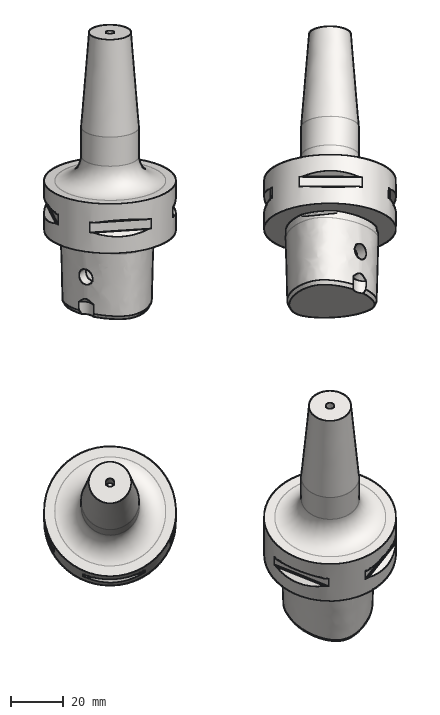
import cadquery as cq
import math

FLANGE_RADIUS = 25.0
FLANGE_HEIGHT = 20.0

NECK_RADIUS = 11.0
COVE_RADIUS = 10.0
NECK_TOP_Z = 41.8
NOSE_TOP_Z = 80.0
NOSE_TIP_RADIUS = 8.0
BORE_DIAMETER = 3.2
BORE_DEPTH = 10.0

GROOVE_COUNT = 4
GROOVE_START_ANGLE = 45.0
GROOVE_CENTRE_Z = FLANGE_HEIGHT / 2
GROOVE_FLOOR_DISTANCE = 22.0
GROOVE_FLOOR_WIDTH = 4.0
GROOVE_WALL_DEPTH = 0.7
GROOVE_FLANK_ANGLE = 31.0

SHANK_LENGTH = 30.0
SHANK_MEAN_RADIUS = 17.6
LOBE_ECCENTRICITY = 1.1
LOBE_COUNT = 3
OUTLINE_POINTS = 12 * LOBE_COUNT
LOBE_DIRECTION = math.radians(90.0)
SEAM_TURN = -1 / 4
STRAIGHT_LENGTH = 2.9
TAPER_PER_SIDE = 1 / 40
END_CHAMFER_HEIGHT = 1.6
END_CHAMFER_INSET = 0.85

RELIEF_RADIUS = 17.7
RELIEF_STRAIGHT_DEPTH = 0.55
RELIEF_FILLET_RADIUS = 1.0
RELIEF_CONE_ANGLE = 45.0
CUTTER_OUTER_RADIUS = FLANGE_RADIUS

FLAT_DISTANCE = SHANK_MEAN_RADIUS - LOBE_ECCENTRICITY
SIDE_HOLE_RADIUS = 3.1
SIDE_HOLE_Z = -14.0
SIDE_HOLE_DEPTH = 5.0
DRILL_POINT_ANGLE = 118.0
NOTCH_RADIUS = 4.3
NOTCH_AXIS_DISTANCE = 18.25
NOTCH_SHOULDER_Z = -25.0
NOTCH_CONE_ANGLE = 45.0


def make_flange_and_nose():
    """Revolved flange, concave cove, cylindrical neck and conical nose."""
    cove_outer_radius = NECK_RADIUS + COVE_RADIUS
    cove_top_z = FLANGE_HEIGHT + COVE_RADIUS
    arc_reach = COVE_RADIUS * math.sin(math.radians(45))
    cove_middle = (cove_outer_radius - arc_reach, cove_top_z - arc_reach)
    profile = (
        cq.Workplane("XZ")
        .lineTo(FLANGE_RADIUS, 0)
        .lineTo(FLANGE_RADIUS, FLANGE_HEIGHT)
        .lineTo(cove_outer_radius, FLANGE_HEIGHT)
        .threePointArc(cove_middle, (NECK_RADIUS, cove_top_z))
        .lineTo(NECK_RADIUS, NECK_TOP_Z)
        .lineTo(NOSE_TIP_RADIUS, NOSE_TOP_Z)
        .lineTo(0, NOSE_TOP_Z)
        .close()
    )
    return profile.revolve(360, (0, 0), (0, 1))


def make_bore():
    """Blind hole down from the tip of the nose."""
    bore_floor = cq.Workplane("XY").workplane(offset=NOSE_TOP_Z - BORE_DEPTH)
    return bore_floor.circle(BORE_DIAMETER / 2).extrude(BORE_DEPTH)


def make_gripper_groove(angle):
    """Straight groove across the rim, with short square walls and flared flanks."""
    flank_start = GROOVE_FLOOR_DISTANCE + GROOVE_WALL_DEPTH
    flank_depth = FLANGE_RADIUS - flank_start
    half_floor = GROOVE_FLOOR_WIDTH / 2
    half_mouth = half_floor + flank_depth * math.tan(math.radians(GROOVE_FLANK_ANGLE))
    section = [
        (GROOVE_FLOOR_DISTANCE, GROOVE_CENTRE_Z - half_floor),
        (flank_start, GROOVE_CENTRE_Z - half_floor),
        (FLANGE_RADIUS, GROOVE_CENTRE_Z - half_mouth),
        (FLANGE_RADIUS, GROOVE_CENTRE_Z + half_mouth),
        (flank_start, GROOVE_CENTRE_Z + half_floor),
        (GROOVE_FLOOR_DISTANCE, GROOVE_CENTRE_Z + half_floor),
    ]
    groove = cq.Workplane("XZ").polyline(section).close().extrude(FLANGE_RADIUS, both=True)
    return groove.rotate((0, 0, 0), (0, 0, 1), angle)


def lobed_point(mean_radius, turn):
    """Point whose outline tangent lies at mean_radius + e*cos(3*angle) from the axis."""
    normal_angle = 2 * math.pi * turn
    lobe_phase = LOBE_COUNT * (normal_angle - LOBE_DIRECTION)
    distance = mean_radius + LOBE_ECCENTRICITY * math.cos(lobe_phase)
    shift = -LOBE_COUNT * LOBE_ECCENTRICITY * math.sin(lobe_phase)
    x = distance * math.cos(normal_angle) - shift * math.sin(normal_angle)
    y = distance * math.sin(normal_angle) + shift * math.cos(normal_angle)
    return x, y


def lobed_wire(mean_radius, z):
    """Closed three-lobed outline at height z, with its seam on the -Y flat."""
    points = []
    for index in range(OUTLINE_POINTS):
        x, y = lobed_point(mean_radius, index / OUTLINE_POINTS + SEAM_TURN)
        points.append(cq.Vector(x, y, z))
    return cq.Wire.assembleEdges([cq.Edge.makeSpline(points, periodic=True)])


def lobed_section(top_radius, top_z, bottom_radius, bottom_z):
    """Ruled solid between two lobed outlines."""
    top = lobed_wire(top_radius, top_z)
    bottom = lobed_wire(bottom_radius, bottom_z)
    return cq.Workplane(cq.Solid.makeLoft([bottom, top], True))


def make_shank():
    """Straight band, tapered body and end chamfer of the lobed shank."""
    chamfer_z = -SHANK_LENGTH + END_CHAMFER_HEIGHT
    taper_length = -STRAIGHT_LENGTH - chamfer_z
    tapered_radius = SHANK_MEAN_RADIUS - taper_length * TAPER_PER_SIDE
    end_radius = tapered_radius - END_CHAMFER_INSET
    band = lobed_section(SHANK_MEAN_RADIUS, 0, SHANK_MEAN_RADIUS, -STRAIGHT_LENGTH)
    taper = lobed_section(SHANK_MEAN_RADIUS, -STRAIGHT_LENGTH, tapered_radius, chamfer_z)
    chamfer = lobed_section(tapered_radius, chamfer_z, end_radius, -SHANK_LENGTH)
    return band.union(taper).union(chamfer)


def make_lobe_relief():
    """Ring that trims the lobes: a cylinder blended by a fillet into a cone."""
    fillet_centre_x = RELIEF_RADIUS + RELIEF_FILLET_RADIUS

    def fillet_point(angle):
        x = fillet_centre_x - RELIEF_FILLET_RADIUS * math.cos(math.radians(angle))
        z = -RELIEF_STRAIGHT_DEPTH - RELIEF_FILLET_RADIUS * math.sin(math.radians(angle))
        return x, z

    cone_start_x, cone_start_z = fillet_point(RELIEF_CONE_ANGLE)
    cone_height = (CUTTER_OUTER_RADIUS - cone_start_x) / math.tan(math.radians(RELIEF_CONE_ANGLE))
    profile = (
        cq.Workplane("XZ")
        .moveTo(CUTTER_OUTER_RADIUS, 0)
        .lineTo(RELIEF_RADIUS, 0)
        .lineTo(RELIEF_RADIUS, -RELIEF_STRAIGHT_DEPTH)
        .threePointArc(fillet_point(RELIEF_CONE_ANGLE / 2), (cone_start_x, cone_start_z))
        .lineTo(CUTTER_OUTER_RADIUS, cone_start_z - cone_height)
        .close()
    )
    return profile.revolve(360, (0, 0), (0, 1))


def make_side_hole():
    """Short drilled hole with a conical floor, running inward from the -Y flat."""
    floor_y = -FLAT_DISTANCE + SIDE_HOLE_DEPTH
    tip_length = SIDE_HOLE_RADIUS / math.tan(math.radians(DRILL_POINT_ANGLE / 2))
    profile = (
        cq.Workplane("XY")
        .moveTo(0, -FLANGE_RADIUS)
        .lineTo(SIDE_HOLE_RADIUS, -FLANGE_RADIUS)
        .lineTo(SIDE_HOLE_RADIUS, floor_y)
        .lineTo(0, floor_y + tip_length)
        .close()
    )
    cutter = profile.revolve(360, (0, 0), (0, 1))
    return cutter.translate((0, 0, SIDE_HOLE_Z))


def make_drive_notch():
    """Upright round notch in the -Y flat, closed above by a cone."""
    cone_height = NOTCH_RADIUS * math.tan(math.radians(NOTCH_CONE_ANGLE))
    notch_depth = NOTCH_SHOULDER_Z + SHANK_LENGTH
    profile = (
        cq.Workplane("XZ")
        .lineTo(NOTCH_RADIUS, 0)
        .lineTo(NOTCH_RADIUS, notch_depth)
        .lineTo(0, notch_depth + cone_height)
        .close()
    )
    cutter = profile.revolve(360, (0, 0), (0, 1))
    return cutter.translate((0, -NOTCH_AXIS_DISTANCE, -SHANK_LENGTH))


head = make_flange_and_nose().cut(make_bore())
for index in range(GROOVE_COUNT):
    head = head.cut(make_gripper_groove(GROOVE_START_ANGLE + index * 360 / GROOVE_COUNT))

shank = make_shank().cut(make_lobe_relief()).cut(make_side_hole()).cut(make_drive_notch())

result = head.union(shank)